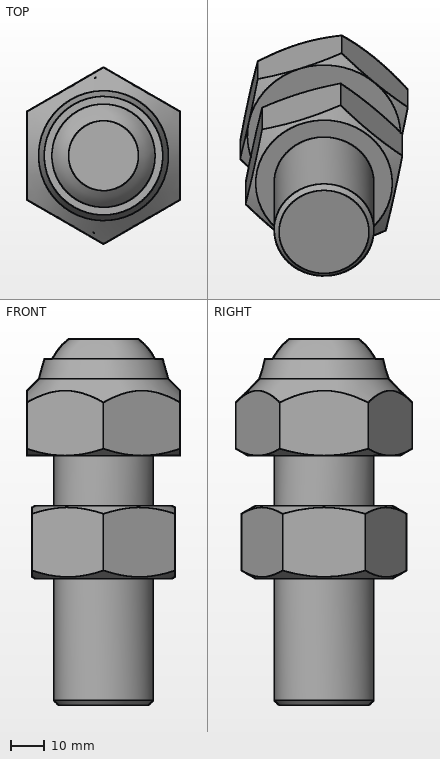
import cadquery as cq
import math

TOTAL_HEIGHT = 110.0
LOCK_NUT_BOTTOM = 38.0
LOCK_NUT_HEIGHT = 22.0
CAP_NUT_BOTTOM = 75.0
CAP_HEX_HEIGHT = 23.0
COLLAR_HEIGHT = 6.0

STUD_DIAMETER = 30.0
STUD_CHAMFER = 1.5

CAP_ACROSS_FLATS = 46.0
LOCK_ACROSS_FLATS = 43.0
LOCK_FACE_DIAMETER = 41.0
NUT_CHAMFER_ANGLE = 30.0
CORNER_TURN = 30.0
ENVELOPE_MARGIN = 2.0

COLLAR_BOTTOM_DIAMETER = 39.0
COLLAR_TOP_DIAMETER = 35.6
CAP_SHOULDER_ANGLE = 45.0
DOME_BASE_DIAMETER = 31.0
DOME_FLAT_DIAMETER = 21.0

COLLAR_BOTTOM = CAP_NUT_BOTTOM + CAP_HEX_HEIGHT
DOME_BASE = COLLAR_BOTTOM + COLLAR_HEIGHT
DOME_HEIGHT = TOTAL_HEIGHT - DOME_BASE


def revolve_profile(profile):
    """Turn a closed radius-height profile a full turn about the Z axis."""
    return profile.close().revolve(360, (0, 0, 0), (0, 1, 0))


def make_hex_nut(bottom, height, across_flats, bottom_face, top_face, top_angle):
    """Hexagonal prism with corners along Y, its two ends trimmed by cones.

    Each cone starts at the given end face diameter; its angle is taken from the horizontal.
    """
    corner_radius = across_flats / math.sqrt(3)
    prism = (
        cq.Workplane("XY")
        .workplane(offset=bottom)
        .polygon(6, 2 * corner_radius)
        .extrude(height)
        .rotate((0, 0, 0), (0, 0, 1), CORNER_TURN)
    )
    outer_radius = corner_radius + ENVELOPE_MARGIN
    bottom_drop = (outer_radius - bottom_face / 2) * math.tan(math.radians(NUT_CHAMFER_ANGLE))
    top_drop = (outer_radius - top_face / 2) * math.tan(math.radians(top_angle))
    top = bottom + height
    envelope = revolve_profile(
        cq.Workplane("XZ")
        .moveTo(0, bottom)
        .lineTo(bottom_face / 2, bottom)
        .lineTo(outer_radius, bottom + bottom_drop)
        .lineTo(outer_radius, top - top_drop)
        .lineTo(top_face / 2, top)
        .lineTo(0, top)
    )
    return prism.intersect(envelope)


def make_stud():
    """Round stud reaching up into the cap nut, chamfered at its foot."""
    return (
        cq.Workplane("XY")
        .circle(STUD_DIAMETER / 2)
        .extrude(COLLAR_BOTTOM)
        .faces("<Z")
        .chamfer(STUD_CHAMFER)
    )


def make_collar_and_dome():
    """Tapered collar carrying a spherical dome with a flat top."""
    base_radius = DOME_BASE_DIAMETER / 2
    flat_radius = DOME_FLAT_DIAMETER / 2
    centre_depth = (base_radius**2 - flat_radius**2 - DOME_HEIGHT**2) / (2 * DOME_HEIGHT)
    sphere_radius = math.hypot(base_radius, centre_depth)
    mid_height = DOME_HEIGHT / 2
    mid_radius = math.sqrt(sphere_radius**2 - (centre_depth + mid_height) ** 2)
    return revolve_profile(
        cq.Workplane("XZ")
        .moveTo(0, COLLAR_BOTTOM)
        .lineTo(COLLAR_BOTTOM_DIAMETER / 2, COLLAR_BOTTOM)
        .lineTo(COLLAR_TOP_DIAMETER / 2, DOME_BASE)
        .lineTo(base_radius, DOME_BASE)
        .threePointArc((mid_radius, DOME_BASE + mid_height), (flat_radius, TOTAL_HEIGHT))
        .lineTo(0, TOTAL_HEIGHT)
    )


lock_nut = make_hex_nut(
    LOCK_NUT_BOTTOM,
    LOCK_NUT_HEIGHT,
    LOCK_ACROSS_FLATS,
    LOCK_FACE_DIAMETER,
    LOCK_FACE_DIAMETER,
    NUT_CHAMFER_ANGLE,
)
cap_hex = make_hex_nut(
    CAP_NUT_BOTTOM,
    CAP_HEX_HEIGHT,
    CAP_ACROSS_FLATS,
    CAP_ACROSS_FLATS,
    COLLAR_BOTTOM_DIAMETER,
    CAP_SHOULDER_ANGLE,
)

result = make_stud().union(lock_nut).union(cap_hex).union(make_collar_and_dome())